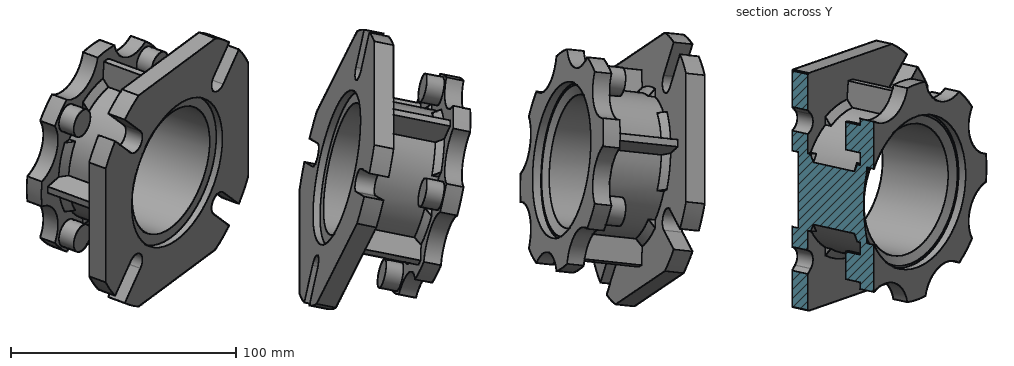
import cadquery as cq

total_length = 46.5
front_flange_thickness = 8.0
back_plate_thickness = 9.0
back_plate_start = total_length - back_plate_thickness
barrel_length = back_plate_start - front_flange_thickness

barrel_radius = 33.5
bore_radius = 29.9
recess_radius = 35.0
front_recess_depth = 4.0
back_recess_depth = 3.3
cone_radius = 34.0
cone_length = 2.0

front_flange_radius = 49.9
scallop_count = 8
scallop_radius = 16.0
scallop_center_radius = 57.5

plate_side = 110
plate_corner_radius = 62.5
slot_width = 10.6
slot_end_center_radius = 45.2

pin_radius = 6.5
pin_length = 8.0
pin_center_radius = 42.4

side_count = 4
rib_tip_radius = 45.0
rib_tip_width = 3.3
rib_root_width = 5.5
wedge_size = 3.2
wedge_half_width = 17.9

diagonal_angle = 45


def section(x):
    """Workplane across the axis at x; local x is +Y and local y is +Z."""
    return cq.Workplane("YZ", origin=(x, 0, 0))


def around_axis(shape, count, start_angle=0):
    """Union of copies of shape spaced evenly around the X axis."""
    copies = cq.Workplane("YZ")
    for index in range(count):
        angle = start_angle + index * 360 / count
        copies = copies.add(shape.rotate((0, 0, 0), (1, 0, 0), angle))
    return copies.combine()


def make_front_flange():
    disc = section(0).circle(front_flange_radius).extrude(front_flange_thickness)
    scallop = section(0).center(scallop_center_radius, 0).circle(scallop_radius)
    scallop = scallop.extrude(front_flange_thickness)
    return disc.cut(around_axis(scallop, scallop_count, 180 / scallop_count))


def make_back_plate():
    square = section(back_plate_start).rect(plate_side, plate_side).extrude(back_plate_thickness)
    disc = section(back_plate_start).circle(plate_corner_radius).extrude(back_plate_thickness)
    slot_length = plate_corner_radius - slot_end_center_radius
    slot = (
        section(back_plate_start)
        .center(slot_end_center_radius + slot_length / 2, 0)
        .rect(slot_length, slot_width)
        .extrude(back_plate_thickness)
    )
    slot_end = section(back_plate_start).center(slot_end_center_radius, 0)
    slot_end = slot_end.circle(slot_width / 2).extrude(back_plate_thickness)
    slot = slot.union(slot_end)
    return square.intersect(disc).cut(around_axis(slot, side_count, diagonal_angle))


def make_pins():
    pin = section(front_flange_thickness).center(pin_center_radius, 0).circle(pin_radius)
    return around_axis(pin.extrude(pin_length), side_count, diagonal_angle)


def make_ribs():
    """Ribs between the flanges that narrow towards their tips."""
    rib = (
        section(front_flange_thickness)
        .moveTo(-rib_root_width / 2, bore_radius)
        .lineTo(-rib_root_width / 2, barrel_radius)
        .lineTo(-rib_tip_width / 2, rib_tip_radius)
        .lineTo(rib_tip_width / 2, rib_tip_radius)
        .lineTo(rib_root_width / 2, barrel_radius)
        .lineTo(rib_root_width / 2, bore_radius)
        .close()
        .extrude(barrel_length)
    )
    return around_axis(rib, side_count)


def make_wedges():
    """45 degree collars at both barrel ends, cut to one stretch per side."""
    collar_radius = barrel_radius + wedge_size
    collars = (
        cq.Workplane("XY")
        .moveTo(front_flange_thickness, bore_radius)
        .lineTo(front_flange_thickness, collar_radius)
        .lineTo(front_flange_thickness + wedge_size, barrel_radius)
        .lineTo(back_plate_start - wedge_size, barrel_radius)
        .lineTo(back_plate_start, collar_radius)
        .lineTo(back_plate_start, bore_radius)
        .close()
        .revolve(360, (0, 0, 0), (1, 0, 0))
    )
    stretch = section(front_flange_thickness).center(0, collar_radius / 2)
    stretch = stretch.rect(2 * wedge_half_width, collar_radius).extrude(barrel_length)
    return around_axis(collars.intersect(stretch), side_count)


def make_bore():
    """Through bore with a recess at each end; a cone leads in from the front recess."""
    cone_end = front_recess_depth + cone_length
    back_recess_start = total_length - back_recess_depth
    return (
        cq.Workplane("XY")
        .lineTo(0, recess_radius)
        .lineTo(front_recess_depth, recess_radius)
        .lineTo(front_recess_depth, cone_radius)
        .lineTo(cone_end, bore_radius)
        .lineTo(back_recess_start, bore_radius)
        .lineTo(back_recess_start, recess_radius)
        .lineTo(total_length, recess_radius)
        .lineTo(total_length, 0)
        .close()
        .revolve(360, (0, 0, 0), (1, 0, 0))
    )


barrel = section(front_flange_thickness).circle(barrel_radius).extrude(barrel_length)
result = make_front_flange().union(barrel).union(make_back_plate())
result = result.union(make_pins()).union(make_ribs()).union(make_wedges())
result = result.cut(make_bore())